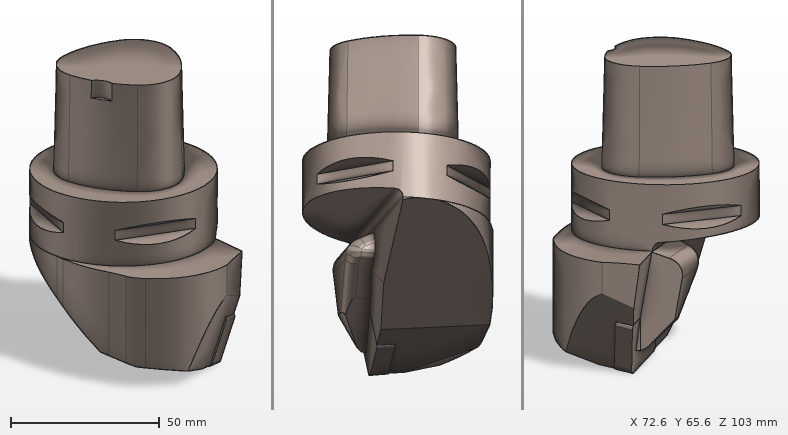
import cadquery as cq
import math

total_height = 103
reach = 123.6

taper_length = 38.0
lobe_distance = 23.6
flank_distance = 20.3
lobe_radius = 14.4
taper_angle = math.degrees(math.atan(1 / 40))
notch_radius = 6.0
notch_depth = 6.3
notch_crest = 17.9

flange_radius = 63.0 / 2
flange_height = 23.0
groove_floor_distance = 27.9
groove_floor_width = 3.5
groove_wall_angle = 30
groove_z = -11.9
relief_edge_z = -18.1
relief_angle = 4.5
relief_fillet = 3.0
side_face_y = 6.1

head_radius = 31.6
blend_angle = 22.5
blend_line_end = (-9.4, -30.5)
front_y = -34
front_start_x = 8.7
front_end_x = 14.8
corner_end = (21.3, -32.2)
bulge_middle = (35.1, -21.6)
end_face_x = 41.0
end_face_front_y = -8.3

shoulder_angle = 15
slant_start_x = -32.0
slant_angle = 41
slant_tilt = 2.8
corner_relief_angle = 16
corner_relief_y = -33.3
corner_relief_z = -56.9
flank_flare = -1

insert_size = 19.1
insert_thickness = 6.4
insert_corner_radius = 1.6
insert_overhang = 0.7
lead_angle = 15
rake_angle = 6.5
tip_x = 34.8
tip_y = 0
nose_rounding_loss = 0.37
tip_z = taper_length - total_height - nose_rounding_loss

boss_round = 7.9 / 2
boss_top_z = -23.1
boss_back_x = 5.2
boss_fold_z = -31.9
boss_crease = (16.5, -43.8)
boss_bottom_z = -58.2
boss_end_x = 35.6
boss_shoulder = (11.0, -25.5)
boss_shoulder_middle = (14.0, -28.2)
boss_crest = (14.9, -32.7)
boss_nose = (12.8, -47.0)
boss_foot_y = 2.9
boss_end_foot_x = 34
boss_end_crest_x = 25.8
boss_end_crest_y = 15.1


def polar(radius, angle):
    """Point at a radius and an angle in degrees."""
    return radius * math.cos(math.radians(angle)), radius * math.sin(math.radians(angle))


def slope(angle):
    """Rise per unit of run for an angle in degrees."""
    return math.tan(math.radians(angle))


def near(*point):
    """Selector for the edge nearest to a point."""
    return cq.selectors.NearestToPointSelector(point)


def make_space_below(point, turn_x, turn_y):
    """Large block below a plane through a point, turned about X and then about Y."""
    return (
        cq.Workplane("XY")
        .box(2 * reach, 2 * reach, reach, centered=(True, True, False))
        .translate((0, 0, -reach))
        .rotate((0, 0, 0), (1, 0, 0), turn_x)
        .rotate((0, 0, 0), (0, 1, 0), turn_y)
        .translate(point)
    )


def make_insert_plane():
    """Rake plane with its origin at the tip; local x and y point outward across the two cutting edges."""
    tilt = slope(rake_angle)
    lead_cos, lead_sin = polar(1, lead_angle)
    edge_direction = (lead_cos, -tilt, -lead_sin)
    rake_normal = (tilt * (lead_cos - lead_sin), 1, -tilt * (lead_cos + lead_sin))
    return cq.Plane(origin=(tip_x, tip_y, tip_z), xDir=edge_direction, normal=rake_normal)


def make_shank():
    """Tapered shank: lobe arcs joined tangentially by flatter flank arcs, with a notch at the top."""
    lobe_center = lobe_distance - lobe_radius
    flank_radius = (
        lobe_radius**2 - lobe_center**2 - flank_distance**2 + lobe_center * flank_distance
    ) / (lobe_center + 2 * lobe_radius - 2 * flank_distance)
    flank_center_x, flank_center_y = polar(flank_radius - flank_distance, 60)
    joint_angle = math.degrees(math.atan2(flank_center_y, lobe_center + flank_center_x))

    def lobe_joint(lobe_direction, side):
        center_x, center_y = polar(lobe_center, lobe_direction)
        offset_x, offset_y = polar(lobe_radius, lobe_direction + side * joint_angle)
        return center_x + offset_x, center_y + offset_y

    outline = cq.Workplane("XY").moveTo(*lobe_joint(90, -1))
    for direction in (90, 210, 330):
        outline = outline.threePointArc(polar(lobe_distance, direction), lobe_joint(direction, 1))
        next_joint = lobe_joint(direction + 120, -1)
        outline = outline.threePointArc(polar(flank_distance, direction + 60), next_joint)
    shank = outline.close().extrude(taper_length, taper=taper_angle)

    notch = (
        cq.Workplane("XY", origin=(0, -notch_crest - notch_radius, taper_length - notch_depth))
        .circle(notch_radius)
        .extrude(notch_depth)
    )
    return shank.cut(notch)


def make_groove():
    """Straight trapezoidal gripper groove on the +X side."""
    floor_half = groove_floor_width / 2
    mouth_half = floor_half + (flange_radius - groove_floor_distance) * slope(groove_wall_angle)
    return (
        cq.Workplane("XZ", origin=(0, 0, groove_z))
        .moveTo(groove_floor_distance, -floor_half)
        .lineTo(flange_radius, -mouth_half)
        .lineTo(flange_radius, mouth_half)
        .lineTo(groove_floor_distance, floor_half)
        .close()
        .extrude(flange_radius, both=True)
    )


def make_flange_relief():
    """Space cut away under the flange on the +Y side, with a rounded inner corner."""
    corner_z = relief_edge_z - slope(relief_angle) * (flange_radius - side_face_y)
    outer_z = corner_z + slope(relief_angle) * (reach - side_face_y)
    return (
        cq.Workplane("YZ")
        .moveTo(side_face_y, corner_z)
        .lineTo(reach, outer_z)
        .lineTo(reach, -reach)
        .lineTo(side_face_y, -reach)
        .close()
        .extrude(reach, both=True)
        .edges(near(0, side_face_y, corner_z))
        .fillet(relief_fillet)
    )


def make_flange():
    """Round flange with four gripper grooves on its diagonals and a relief below."""
    flange = cq.Workplane("XY").circle(flange_radius).extrude(-flange_height)
    groove = make_groove()
    for angle in (45, 135, 225, 315):
        flange = flange.cut(groove.rotate((0, 0, 0), (0, 0, 1), angle))
    return flange.cut(make_flange_relief())


def make_shoulder():
    """Space below the shoulder cone, which falls away outside the flange."""
    outer_z = -slope(shoulder_angle) * (reach - head_radius)
    return (
        cq.Workplane("XZ", origin=(0, 0, -flange_height))
        .polyline([(0, 0), (head_radius, 0), (reach, outer_z), (0, -reach)])
        .close()
        .revolve(360, (0, 0, 0), (0, 1, 0))
    )


def make_head(insert_plane):
    """Offset head below the flange, trimmed around the insert and at the back."""
    blend_start = polar(head_radius, 270 - blend_angle)
    side_corner_x = -math.sqrt(head_radius**2 - side_face_y**2)
    head = (
        cq.Workplane("XY", origin=(0, 0, -flange_height))
        .moveTo(*blend_start)
        .lineTo(*blend_line_end)
        .tangentArcPoint((front_start_x, front_y), relative=False)
        .lineTo(front_end_x, front_y)
        .tangentArcPoint(corner_end, relative=False)
        .threePointArc(bulge_middle, (end_face_x, end_face_front_y))
        .lineTo(end_face_x, side_face_y)
        .lineTo(side_corner_x, side_face_y)
        .threePointArc((-head_radius, 0), blend_start)
        .close()
        .extrude(-reach)
    )
    flank_block = (
        cq.Workplane(insert_plane)
        .move(-insert_overhang, -insert_overhang)
        .rect(-2 * reach, -2 * reach, centered=False)
        .extrude(-reach, taper=flank_flare)
    )
    slant_cut = make_space_below((slant_start_x, side_face_y, -flange_height), -slant_tilt, slant_angle)
    corner_cut = make_space_below((0, corner_relief_y, corner_relief_z), -corner_relief_angle, 0)
    return head.intersect(flank_block).cut(slant_cut).cut(corner_cut)


def make_boss():
    """Clamp-shaped boss on the +Y side of the head: the common part of three profiles."""
    side_shape = (
        cq.Workplane("YZ")
        .moveTo(0, boss_top_z)
        .lineTo(side_face_y, boss_top_z)
        .lineTo(*boss_shoulder)
        .threePointArc(boss_shoulder_middle, boss_crest)
        .lineTo(*boss_nose)
        .lineTo(boss_foot_y, boss_bottom_z)
        .lineTo(0, boss_bottom_z)
        .close()
        .extrude(reach)
    )
    back_shape = (
        cq.Workplane("XZ")
        .moveTo(boss_back_x, boss_top_z)
        .lineTo(boss_back_x, boss_fold_z)
        .lineTo(*boss_crease)
        .lineTo(boss_end_x, boss_bottom_z)
        .lineTo(boss_end_x, boss_top_z)
        .close()
        .extrude(-reach)
        .edges(near(boss_back_x, reach / 2, boss_fold_z))
        .fillet(boss_round)
    )
    end_shape = (
        cq.Workplane("XY")
        .moveTo(0, 0)
        .lineTo(boss_end_foot_x, 0)
        .lineTo(boss_end_foot_x, boss_foot_y)
        .lineTo(boss_end_crest_x, boss_end_crest_y)
        .lineTo(0, boss_end_crest_y)
        .close()
        .extrude(-reach)
    )
    boss = side_shape.intersect(back_shape).intersect(end_shape)
    outer_edge_middle = (
        (boss_back_x + boss_crease[0]) / 2,
        (boss_crest[0] + boss_nose[0]) / 2,
        (boss_fold_z + boss_crease[1]) / 2,
    )
    return boss.edges(near(*outer_edge_middle)).fillet(boss_round)


def make_insert(insert_plane):
    """Square cutting insert with rounded corners."""
    return (
        cq.Workplane(insert_plane)
        .rect(-insert_size, -insert_size, centered=False)
        .extrude(-insert_thickness)
        .edges(cq.selectors.ParallelDirSelector(insert_plane.zDir))
        .fillet(insert_corner_radius)
    )


def make_holder(insert_plane, insert):
    """Shank, flange, head and boss as one solid, with a seat that matches the insert."""
    lower_part = make_head(insert_plane).union(make_boss()).intersect(make_shoulder())
    return make_shank().union(make_flange()).union(lower_part).cut(insert)


rake_plane = make_insert_plane()
insert = make_insert(rake_plane)
holder = make_holder(rake_plane, insert)

result = cq.Compound.makeCompound([holder.solids().val(), insert.solids().val()])